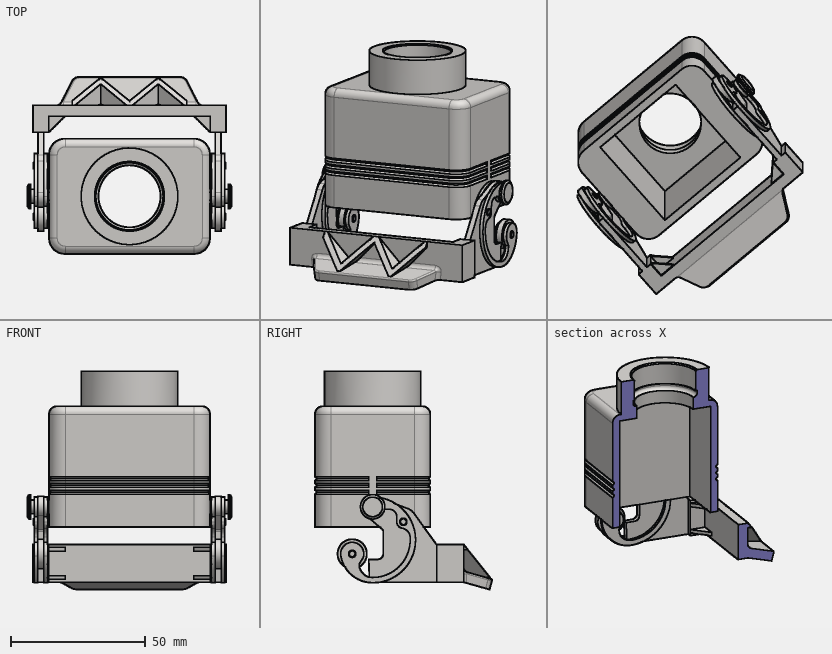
import cadquery as cq
import math

HOOD_WIDTH = 60.0
HOOD_DEPTH = 43.0
HOOD_HEIGHT = 45.0
HOOD_CORNER_RADIUS = 6.0
HOOD_TOP_RADIUS = 3.0
CAVITY_SIDE = 37.0
ROOF_THICKNESS = 2.7

GROOVE_DEPTH = 0.75
GROOVE_HEIGHTS = (13.0, 15.5, 18.0)
GROOVE_GAP = 3.0

COLLAR_DIAMETER = 36.0
COLLAR_HEIGHT = 13.0
COLLAR_TOP = HOOD_HEIGHT + COLLAR_HEIGHT
ENTRY_DIAMETER = 25.0
ENTRY_DEPTH = 8.5
ENTRY_CHAMFER = 0.5
RELIEF_DIAMETER = 26.0
PASSAGE_DIAMETER = 23.0
RELIEF_FLOOR_DEPTH = 10.8
RELIEF_FLOOR_RADIUS = (RELIEF_DIAMETER - PASSAGE_DIAMETER) / 2

PEG_DIAMETER = 5.3
PEG_Z = 7.5
PEG_END_X = 38.0
PEG_HEAD_DIAMETER = 9.1
PEG_HEAD_THICKNESS = 1.3
PEG_HEAD_CHAMFER_LENGTH = 0.6
PEG_HEAD_CHAMFER_HEIGHT = 0.9

ARM_CENTRE_X = 33.0
LEVER_THICKNESS = 2.3
ARM_THICKNESS = 5.0
LEVER_EYE_RADIUS = 4.0

SPRING_CENTRE_Z = -4.8
SPRING_OUTER_RADIUS = 16.0
SPRING_INNER_RADIUS = 14.0
SPRING_EYE_RADIUS = SPRING_OUTER_RADIUS + SPRING_CENTRE_Z - PEG_Z
TAIL_OUTER_RADIUS = 12.0
TAIL_INNER_RADIUS = 5.0

ROLLER_Y = -7.6
ROLLER_Z = -10.0
ROLLER_RADIUS = 5.5

RIVET_DIAMETER = 2.7
RIVET_PROTRUSION = 0.28
RIVET_CHAMFER = 0.25
RIVET_Y = 11.44
RIVET_Z = 1.95
RIVET_BOSS_RADIUS = 2.45

HANDLE_WIDTH = 72.0
HANDLE_INNER_WIDTH = 60.0
HANDLE_FRONT_Y = 23.8
HANDLE_BACK_Y = 33.9
HANDLE_BAR_THICKNESS = 4.1
HANDLE_TOP_Z = -6.5
HANDLE_BOTTOM_Z = -20.59
HANDLE_HEIGHT = HANDLE_TOP_Z - HANDLE_BOTTOM_Z
GUSSET_THICKNESS = 1.4
GUSSET_INSET = 1.1

TAB_TILT = 15.8
TAB_LENGTH = 10.02
TAB_THICKNESS = 4.0
TAB_ROOT_HALF_WIDTH = 25.5
TAB_END_HALF_WIDTH = 20.6
TAB_CORNER_RADIUS = 3.0
TAB_EDGE_RADIUS = 0.6
TAB_ROOT_RADIUS = 1.8
TAB_EMBED = 2.0

RIB_PEAK_X = 10.7
RIB_PEAK_Y = 43.8
RIB_PEAK_FLAT = 1.0
RIB_SHOULDER_Y = 35.5
RIB_SLOPE = 1.25
RIB_GROOVE_HALF_WIDTH = 9.6
RIB_GROOVE_LENGTH = 7.9


def rounded_block(width, depth, height, radius):
    return (
        cq.Workplane("XY")
        .rect(width, depth)
        .extrude(height)
        .edges("|Z")
        .fillet(radius)
    )


def x_cylinder(diameter, y, z, x_start, x_end):
    return (
        cq.Workplane("YZ", origin=(x_start, 0, 0))
        .center(y, z)
        .circle(diameter / 2)
        .extrude(x_end - x_start)
    )


def point_on_circle(centre, radius, angle):
    """Point at an angle in degrees from +Y towards +Z."""
    a = math.radians(angle)
    return (centre[0] + radius * math.cos(a), centre[1] + radius * math.sin(a))


def angle_to(centre, target):
    return math.degrees(math.atan2(target[1] - centre[1], target[0] - centre[0]))


def make_groove(z):
    """Ring that cuts a 90 degree V into the hood wall, leaving a gap on both end walls."""
    overshoot = 2 * GROOVE_DEPTH
    outer_radius = HOOD_CORNER_RADIUS + GROOVE_DEPTH
    outer = rounded_block(HOOD_WIDTH + overshoot, HOOD_DEPTH + overshoot, 2 * GROOVE_DEPTH, outer_radius)
    outer = outer.translate((0, 0, z - GROOVE_DEPTH))
    core_height = 2 * GROOVE_DEPTH
    lower = rounded_block(HOOD_WIDTH, HOOD_DEPTH, core_height, HOOD_CORNER_RADIUS)
    lower = lower.faces(">Z").edges().chamfer(GROOVE_DEPTH).translate((0, 0, -core_height))
    core = lower.union(lower.mirror("XY")).translate((0, 0, z))
    gap = cq.Workplane("XY").box(2 * HOOD_WIDTH, GROOVE_GAP, HOOD_HEIGHT * 2)
    return outer.cut(core).cut(gap)


def make_entry_bore():
    entry_radius = ENTRY_DIAMETER / 2
    relief_radius = RELIEF_DIAMETER / 2
    passage_radius = PASSAGE_DIAMETER / 2
    relief_top = COLLAR_TOP - ENTRY_DEPTH
    relief_floor = COLLAR_TOP - RELIEF_FLOOR_DEPTH
    cavity_top = HOOD_HEIGHT - ROOF_THICKNESS
    return (
        cq.Workplane("XZ")
        .moveTo(0, COLLAR_TOP)
        .lineTo(entry_radius + ENTRY_CHAMFER, COLLAR_TOP)
        .lineTo(entry_radius, COLLAR_TOP - ENTRY_CHAMFER)
        .lineTo(entry_radius, relief_top)
        .lineTo(relief_radius, relief_top)
        .lineTo(relief_radius, relief_floor + RELIEF_FLOOR_RADIUS)
        .radiusArc((passage_radius, relief_floor), RELIEF_FLOOR_RADIUS)
        .lineTo(passage_radius, cavity_top)
        .lineTo(0, cavity_top)
        .close()
        .revolve(360, (0, 0, 0), (0, 1, 0))
    )


def make_hood():
    hood = rounded_block(HOOD_WIDTH, HOOD_DEPTH, HOOD_HEIGHT, HOOD_CORNER_RADIUS)
    hood = hood.faces(">Z").edges().fillet(HOOD_TOP_RADIUS)
    for z in GROOVE_HEIGHTS:
        hood = hood.cut(make_groove(z))
    collar = (
        cq.Workplane("XY", origin=(0, 0, HOOD_HEIGHT))
        .circle(COLLAR_DIAMETER / 2)
        .extrude(COLLAR_HEIGHT)
    )
    cavity = (
        cq.Workplane("XY")
        .rect(CAVITY_SIDE, CAVITY_SIDE)
        .extrude(HOOD_HEIGHT - ROOF_THICKNESS)
    )
    return hood.union(collar).cut(cavity).cut(make_entry_bore())


def make_peg():
    head_start = PEG_END_X - PEG_HEAD_THICKNESS
    neck = x_cylinder(PEG_DIAMETER, 0, PEG_Z, HOOD_WIDTH / 2, PEG_END_X)
    head = x_cylinder(PEG_HEAD_DIAMETER, 0, PEG_Z, head_start, PEG_END_X)
    head = head.faces(">X").edges().chamfer(PEG_HEAD_CHAMFER_LENGTH, PEG_HEAD_CHAMFER_HEIGHT)
    return neck.union(head)


def make_lever():
    """Flat plate running from the peg eye to the handle, with a hooked mouth on its -Y side."""
    eye = (0, PEG_Z)
    mouth_y = 3.9
    mouth_top_z = -1.15
    mouth_top_radius = 1.0
    mouth_floor_z = -12.0
    mouth_radius = 2.0
    lip_top_y = -1.5
    lip_bottom_y = -1.2
    eye_front_angle = 230
    eye_back_angle = 70
    shoulder_start = (13.15, 6.85)
    shoulder_middle = (14.3, 6.2)
    shoulder_end = (15.5, 4.95)
    plate = (
        cq.Workplane("YZ")
        .moveTo(*eye)
        .lineTo(*point_on_circle(eye, LEVER_EYE_RADIUS, eye_front_angle))
        .lineTo(mouth_y, mouth_top_z)
        .lineTo(mouth_y, mouth_floor_z + mouth_radius)
        .radiusArc((mouth_y - mouth_radius, mouth_floor_z), mouth_radius)
        .lineTo(lip_top_y, mouth_floor_z)
        .lineTo(lip_bottom_y, HANDLE_BOTTOM_Z)
        .lineTo(HANDLE_FRONT_Y, HANDLE_BOTTOM_Z)
        .lineTo(HANDLE_FRONT_Y, HANDLE_TOP_Z)
        .lineTo(*shoulder_end)
        .threePointArc(shoulder_middle, shoulder_start)
        .lineTo(*point_on_circle(eye, LEVER_EYE_RADIUS, eye_back_angle))
        .close()
        .extrude(LEVER_THICKNESS / 2, both=True)
        .edges(cq.selectors.NearestToPointSelector((0, mouth_y, mouth_top_z)))
        .fillet(mouth_top_radius)
        .translate((ARM_CENTRE_X, 0, 0))
    )
    x_start = ARM_CENTRE_X - LEVER_THICKNESS / 2
    x_end = ARM_CENTRE_X + LEVER_THICKNESS / 2
    eye_disc = x_cylinder(2 * LEVER_EYE_RADIUS, *eye, x_start, x_end)
    roller = x_cylinder(2 * ROLLER_RADIUS, ROLLER_Y, ROLLER_Z, x_start, x_end)
    return plate.union(eye_disc).union(roller)


def make_springs():
    """Pair of hook-shaped bands, one on each face of the lever plate."""
    centre = (0, SPRING_CENTRE_Z)
    eye = (0, PEG_Z)
    tail_end = (ROLLER_Y, ROLLER_Z)
    rivet = (RIVET_Y, RIVET_Z)
    bottom_z = SPRING_CENTRE_Z - SPRING_OUTER_RADIUS
    tail = (0, bottom_z + TAIL_OUTER_RADIUS)
    inner_bottom_z = SPRING_CENTRE_Z - SPRING_INNER_RADIUS
    inner_tail = (0, inner_bottom_z + TAIL_INNER_RADIUS)
    tail_angle = angle_to(tail, tail_end)
    tail_tangent = point_on_circle(tail, TAIL_OUTER_RADIUS, tail_angle)
    tail_end_neck_angle = -22
    tail_end_radius = TAIL_OUTER_RADIUS - math.dist(tail, tail_end)

    notch_radius = 3.6
    notch_start_angle = 4.5
    notch_start = point_on_circle(centre, SPRING_INNER_RADIUS, notch_start_angle)
    notch = point_on_circle(centre, SPRING_INNER_RADIUS - notch_radius, notch_start_angle)
    notch_end_angle = angle_to(notch, rivet)
    notch_end = point_on_circle(notch, notch_radius, notch_end_angle)

    boss_side = (RIVET_Y - RIVET_BOSS_RADIUS, RIVET_Z)
    hollow_radius = 2.8
    hollow_z = 3.8
    hollow = (boss_side[0] - hollow_radius, hollow_z)
    hollow_end_angle = 100
    eye_joint_angle = 345

    outline = (
        cq.Workplane("YZ")
        .moveTo(*point_on_circle(centre, SPRING_OUTER_RADIUS, 90))
        .threePointArc(
            point_on_circle(centre, SPRING_OUTER_RADIUS, 0),
            point_on_circle(centre, SPRING_OUTER_RADIUS, -90),
        )
        .threePointArc(point_on_circle(tail, TAIL_OUTER_RADIUS, 230), tail_tangent)
        .threePointArc(
            point_on_circle(tail_end, tail_end_radius, 90),
            point_on_circle(tail_end, tail_end_radius, tail_end_neck_angle),
        )
        .lineTo(*point_on_circle(inner_tail, TAIL_INNER_RADIUS, 180))
        .threePointArc(
            point_on_circle(inner_tail, TAIL_INNER_RADIUS, 225),
            point_on_circle(inner_tail, TAIL_INNER_RADIUS, 270),
        )
        .threePointArc(point_on_circle(centre, SPRING_INNER_RADIUS, -45), notch_start)
        .threePointArc(
            point_on_circle(notch, notch_radius, (notch_start_angle + notch_end_angle) / 2), notch_end
        )
        .threePointArc(point_on_circle(rivet, RIVET_BOSS_RADIUS, 225), boss_side)
        .lineTo(boss_side[0], hollow_z)
        .threePointArc(
            point_on_circle(hollow, hollow_radius, hollow_end_angle / 2),
            point_on_circle(hollow, hollow_radius, hollow_end_angle),
        )
        .lineTo(*point_on_circle(eye, SPRING_EYE_RADIUS, eye_joint_angle))
        .threePointArc(
            point_on_circle(eye, SPRING_EYE_RADIUS, 215),
            point_on_circle(eye, SPRING_EYE_RADIUS, 90),
        )
        .close()
    )
    bands = outline.extrude(ARM_THICKNESS / 2, both=True)
    middle = (
        cq.Workplane("XY")
        .box(LEVER_THICKNESS, 4 * SPRING_OUTER_RADIUS, 4 * SPRING_OUTER_RADIUS)
    )
    return bands.cut(middle).translate((ARM_CENTRE_X, 0, 0))


def make_rivet(y, z):
    half_length = ARM_THICKNESS / 2 + RIVET_PROTRUSION
    rivet = x_cylinder(RIVET_DIAMETER, y, z, ARM_CENTRE_X - half_length, ARM_CENTRE_X + half_length)
    return rivet.faces("<X or >X").edges().chamfer(RIVET_CHAMFER)


def make_arm():
    arm = make_lever().union(make_springs())
    for y, z in ((RIVET_Y, RIVET_Z), (ROLLER_Y, ROLLER_Z)):
        arm = arm.union(make_rivet(y, z))
    return arm.union(make_peg())


def make_handle():
    half_width = HANDLE_WIDTH / 2
    half_inner = HANDLE_INNER_WIDTH / 2
    bar_front_y = HANDLE_BACK_Y - HANDLE_BAR_THICKNESS
    handle = (
        cq.Workplane("XY", origin=(0, 0, HANDLE_BOTTOM_Z))
        .polyline([
            (-half_width, HANDLE_BACK_Y),
            (half_width, HANDLE_BACK_Y),
            (half_width, HANDLE_FRONT_Y),
            (half_inner, HANDLE_FRONT_Y),
            (half_inner, bar_front_y),
            (-half_inner, bar_front_y),
            (-half_inner, HANDLE_FRONT_Y),
            (-half_width, HANDLE_FRONT_Y),
        ])
        .close()
        .extrude(HANDLE_HEIGHT)
    )
    gusset_size = bar_front_y - HANDLE_FRONT_Y
    gusset_levels = (HANDLE_BOTTOM_Z + GUSSET_INSET, HANDLE_TOP_Z - GUSSET_INSET - GUSSET_THICKNESS)
    for z in gusset_levels:
        gusset = (
            cq.Workplane("XY", origin=(0, 0, z))
            .moveTo(half_inner, HANDLE_FRONT_Y)
            .lineTo(half_inner, bar_front_y)
            .lineTo(half_inner - gusset_size, bar_front_y)
            .close()
            .extrude(GUSSET_THICKNESS)
        )
        handle = handle.union(gusset).union(gusset.mirror("YZ"))
    return handle


def make_tab():
    """Trapezoidal plate sloping down from the lower back edge of the handle."""
    tilt = math.radians(TAB_TILT)
    taper = (TAB_ROOT_HALF_WIDTH - TAB_END_HALF_WIDTH) / TAB_LENGTH
    embedded_half_width = TAB_ROOT_HALF_WIDTH + taper * TAB_EMBED
    plane = cq.Plane(
        origin=(0, HANDLE_BACK_Y, HANDLE_BOTTOM_Z),
        xDir=(1, 0, 0),
        normal=(0, math.sin(tilt), math.cos(tilt)),
    )
    tab = (
        cq.Workplane(plane)
        .moveTo(-embedded_half_width, -TAB_EMBED)
        .lineTo(embedded_half_width, -TAB_EMBED)
        .lineTo(TAB_END_HALF_WIDTH, TAB_LENGTH)
        .lineTo(-TAB_END_HALF_WIDTH, TAB_LENGTH)
        .close()
        .extrude(TAB_THICKNESS)
    )
    normal_edges = cq.selectors.ParallelDirSelector(plane.zDir)
    outer_corners = cq.selectors.BoxSelector(
        (-HANDLE_WIDTH, HANDLE_BACK_Y + TAB_LENGTH / 2, 2 * HANDLE_BOTTOM_Z),
        (HANDLE_WIDTH, HANDLE_BACK_Y + 2 * TAB_LENGTH, 0),
    )
    tab = tab.edges(normal_edges).edges(outer_corners).fillet(TAB_CORNER_RADIUS)
    return tab.faces(cq.selectors.DirectionMinMaxSelector(plane.zDir)).edges().fillet(TAB_EDGE_RADIUS)


def make_rib():
    """W-shaped folded rib running along Y, its top cut off by a plane that slopes down to the tab end."""
    half_width = 2 * RIB_PEAK_X
    peak_half_flat = RIB_PEAK_FLAT / 2
    shoulder_z = HANDLE_TOP_Z - RIB_SLOPE * (RIB_SHOULDER_Y - HANDLE_BACK_Y)
    peak_z = HANDLE_TOP_Z - RIB_SLOPE * (RIB_PEAK_Y - HANDLE_BACK_Y)
    rib = (
        cq.Workplane("XZ", origin=(0, HANDLE_BACK_Y, 0))
        .moveTo(-half_width, HANDLE_TOP_Z)
        .lineTo(-half_width, shoulder_z)
        .lineTo(-RIB_PEAK_X - peak_half_flat, peak_z)
        .lineTo(-RIB_PEAK_X + peak_half_flat, peak_z)
        .lineTo(0, shoulder_z)
        .lineTo(RIB_PEAK_X - peak_half_flat, peak_z)
        .lineTo(RIB_PEAK_X + peak_half_flat, peak_z)
        .lineTo(half_width, shoulder_z)
        .lineTo(half_width, HANDLE_TOP_Z)
        .close()
        .extrude(HANDLE_BACK_Y - RIB_PEAK_Y)
    )
    below_slope = (
        cq.Workplane("YZ")
        .moveTo(HANDLE_BACK_Y, HANDLE_TOP_Z)
        .lineTo(RIB_PEAK_Y, peak_z)
        .lineTo(HANDLE_BACK_Y, peak_z)
        .close()
        .extrude(half_width, both=True)
    )
    rib = rib.intersect(below_slope)
    for x in (-RIB_PEAK_X, RIB_PEAK_X):
        groove = (
            cq.Workplane("XZ", origin=(x, HANDLE_BACK_Y, HANDLE_TOP_Z))
            .moveTo(-RIB_GROOVE_HALF_WIDTH, 0)
            .lineTo(RIB_GROOVE_HALF_WIDTH, 0)
            .lineTo(0, -RIB_SLOPE * RIB_GROOVE_LENGTH)
            .close()
            .extrude(-2 * RIB_GROOVE_LENGTH)
        )
        rib = rib.cut(groove)
    return rib


def make_handle_with_tab():
    """Handle and tab, blended along the top and side edges of the tab root."""
    clearance = 0.05
    root_edges = cq.selectors.BoxSelector(
        (-HANDLE_WIDTH / 2 + clearance, HANDLE_BACK_Y - clearance, HANDLE_BOTTOM_Z + clearance),
        (HANDLE_WIDTH / 2 - clearance, HANDLE_BACK_Y + clearance, HANDLE_TOP_Z - clearance),
    )
    body = make_handle().union(make_tab())
    return body.edges(root_edges).fillet(TAB_ROOT_RADIUS).union(make_rib())


arm = make_arm()
result = (
    make_hood()
    .union(arm)
    .union(arm.mirror("YZ"))
    .union(make_handle_with_tab())
)